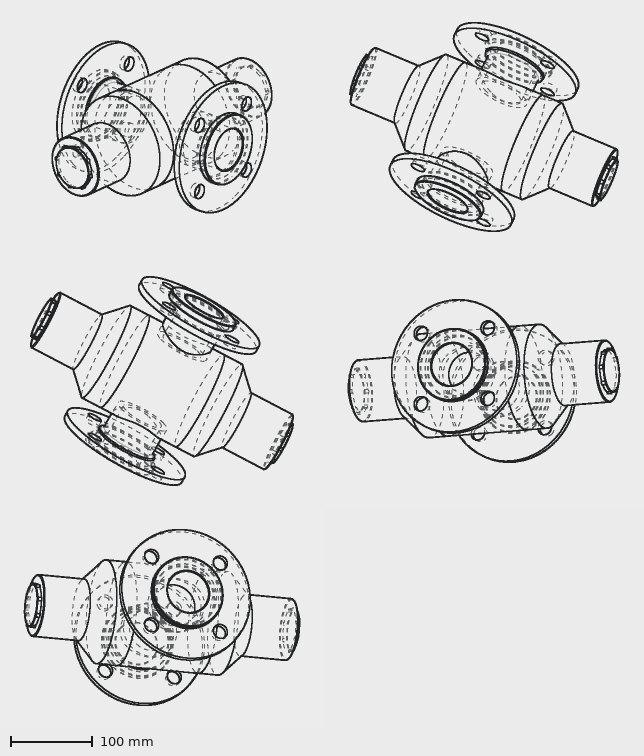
import cadquery as cq
import math

run_length = 336.8
branch_span = 216.2

housing_diameter = 128.0
housing_length = 104.7
branch_seat = 50.5

spigot_diameter = 76.0
collar_length = 25.5
plug_height = 5.5
reducer_end = run_length / 2 - plug_height
cone_length = (housing_diameter - spigot_diameter) / 2
spigot_chamfer = 1.0

plug_diameter = 53.0
plug_chamfer = 0.7
lug_count = 8
lug_diameter = 4.7
lug_circle_diameter = 52.2
front_plug_turn = -11.0
back_plug_turn = 0.0

pipe_diameter = 68.5
bore_diameter = 53.0
hub_diameter = 77.0
face_diameter = 90.0
face_thickness = 9.0
hub_length = 10.5
hub_fillet = 2.7
face_chamfer = 1.0

flange_diameter = 165.0
flange_bore = 78.0
flange_thickness = 8.0
bolt_hole_diameter = 18.0
bolt_hole_count = 4
bolt_circle_diameter = 124.5

branch_end = branch_span / 2
flange_outer = branch_end - face_thickness
shoulder = flange_outer - hub_length


def cylinder_y(diameter, start, length):
    """Cylinder along +Y, starting at y = start."""
    return cq.Workplane("XZ", origin=(0, start, 0)).circle(diameter / 2).extrude(-length)


def cylinder_x(diameter, start, length):
    """Cylinder along +X, starting at x = start."""
    return cq.Workplane("YZ", origin=(start, 0, 0)).circle(diameter / 2).extrude(length)


def make_housing():
    """Round body with a flat-bottomed recess for each branch pipe."""
    body = cylinder_y(housing_diameter, -housing_length / 2, housing_length)
    recess = cylinder_x(pipe_diameter, branch_seat, housing_diameter)
    return body.cut(recess).cut(recess.mirror("YZ"))


def make_reducer():
    """Reducer on the +Y side: full-diameter collar, cone and chamfered spigot."""
    housing_radius = housing_diameter / 2
    spigot_radius = spigot_diameter / 2
    start = housing_length / 2
    cone_start = start + collar_length
    profile = (
        cq.Workplane("XY")
        .moveTo(0, start)
        .lineTo(housing_radius, start)
        .lineTo(housing_radius, cone_start)
        .lineTo(spigot_radius, cone_start + cone_length)
        .lineTo(spigot_radius, reducer_end - spigot_chamfer)
        .lineTo(spigot_radius - spigot_chamfer, reducer_end)
        .lineTo(0, reducer_end)
        .close()
    )
    return profile.revolve(360, (0, 0, 0), (0, 1, 0))


def make_plug(turn):
    """Plug on the +Y side: disc with a chamfered rim and round grip lugs up to the chamfer."""
    plug = cylinder_y(plug_diameter, reducer_end, plug_height).faces(">Y").chamfer(plug_chamfer)
    lug = cylinder_y(lug_diameter, reducer_end, plug_height - plug_chamfer)
    lug = lug.translate((lug_circle_diameter / 2, 0, 0))
    for index in range(lug_count):
        angle = turn + index * 360 / lug_count
        plug = plug.union(lug.rotate((0, 0, 0), (0, 1, 0), angle))
    return plug


def make_stub_end():
    """Stub end on the +X side: bored pipe, filleted hub and raised sealing face."""
    pipe_radius = pipe_diameter / 2
    bore_radius = bore_diameter / 2
    hub_radius = hub_diameter / 2
    face_radius = face_diameter / 2
    arc_offset = hub_fillet * (1 - math.sqrt(0.5))
    profile = (
        cq.Workplane("XY")
        .moveTo(branch_seat, bore_radius)
        .lineTo(branch_seat, pipe_radius)
        .lineTo(shoulder - hub_fillet, pipe_radius)
        .threePointArc((shoulder - arc_offset, pipe_radius + arc_offset), (shoulder, pipe_radius + hub_fillet))
        .lineTo(shoulder, hub_radius)
        .lineTo(flange_outer, hub_radius)
        .lineTo(flange_outer, face_radius - face_chamfer)
        .lineTo(flange_outer + face_chamfer, face_radius)
        .lineTo(branch_end - face_chamfer, face_radius)
        .lineTo(branch_end, face_radius - face_chamfer)
        .lineTo(branch_end, bore_radius + face_chamfer)
        .lineTo(branch_end - face_chamfer, bore_radius)
        .close()
    )
    return profile.revolve(360, (0, 0, 0), (1, 0, 0))


def make_flange():
    """Loose flange on the +X side, held behind the raised face of the stub end."""
    start = flange_outer - flange_thickness
    flange = cylinder_x(flange_diameter, start, flange_thickness)
    flange = flange.cut(cylinder_x(flange_bore, start, flange_thickness))
    bolt_hole = cylinder_x(bolt_hole_diameter, start, flange_thickness)
    bolt_hole = bolt_hole.translate((0, bolt_circle_diameter / 2, 0))
    pitch = 360 / bolt_hole_count
    for index in range(bolt_hole_count):
        flange = flange.cut(bolt_hole.rotate((0, 0, 0), (1, 0, 0), (index + 0.5) * pitch))
    return flange


housing = make_housing()
bodies = [housing.val()]

for turn, half_turn in ((back_plug_turn, 0), (front_plug_turn, 180)):
    for body in (make_reducer(), make_plug(turn)):
        bodies.append(body.rotate((0, 0, 0), (0, 0, 1), half_turn).val())

for half_turn in (0, 180):
    for body in (make_stub_end(), make_flange()):
        bodies.append(body.rotate((0, 0, 0), (0, 0, 1), half_turn).val())

result = cq.Compound.makeCompound(bodies)